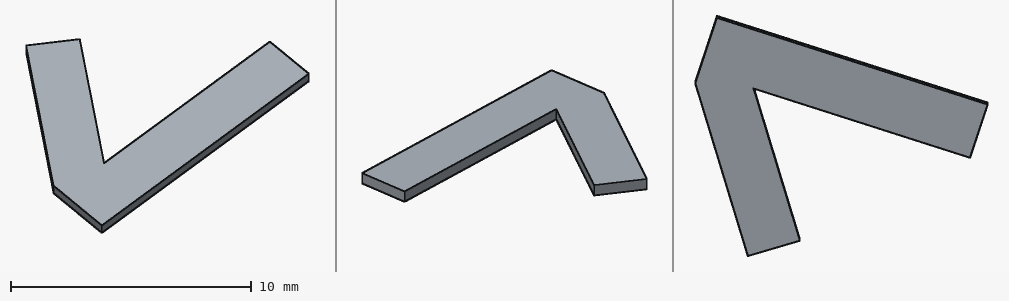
import cadquery as cq
import math

total_width = 9.18
post_length = 11.84
post_width = 2.37
thickness = 0.5
crotch_height = 2.37
arm_width = 2.26
arm_angle = math.radians(34.7)

right = total_width / 2
left = -right
bottom = -post_length / 2
top = bottom + post_length
post_left = right - post_width
crotch_y = bottom + crotch_height

tip_upper_x = left + arm_width * math.sin(arm_angle)
tip_upper_y = crotch_y + (post_left - tip_upper_x) * math.tan(arm_angle)
tip_lower_y = tip_upper_y - arm_width * math.cos(arm_angle)

base_left = left + (tip_lower_y - bottom) / math.tan(arm_angle)

outline = [
    (right, bottom),
    (right, top),
    (post_left, top),
    (post_left, crotch_y),
    (tip_upper_x, tip_upper_y),
    (left, tip_lower_y),
    (base_left, bottom),
]

result = cq.Workplane("XY").polyline(outline).close().extrude(thickness / 2, both=True)